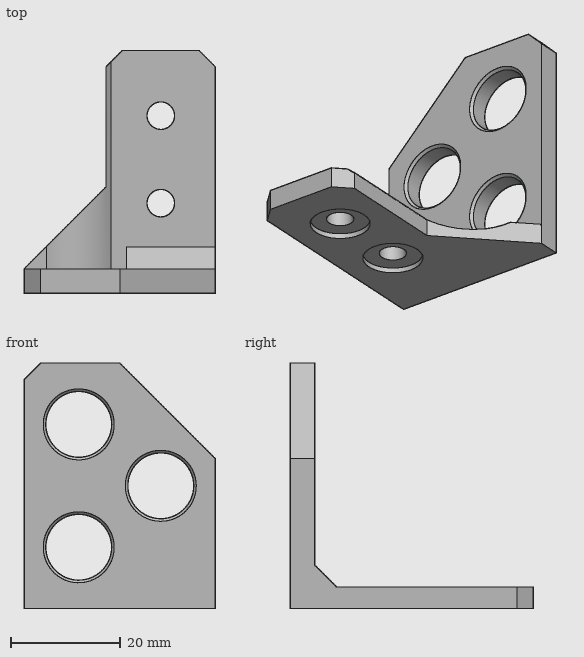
import cadquery as cq

width = 35.0
depth = 44.5
height = 45.0

plate_thickness = 4.5
corner_chamfer = 3.0
large_chamfer = 17.5

hole_diameter = 12.0
hole_edge_chamfer = 0.5
left_hole_x = 10.0
right_hole_x = 25.0
low_hole_z = height / 4
middle_hole_z = height / 2
high_hole_z = height * 3 / 4

base_thickness = 4.0
base_left_x = 15.0
gusset_end_y = plate_thickness + base_left_x
base_hole_diameter = 5.0
base_hole_x = right_hole_x
base_hole_front_y = 16.5
base_hole_spacing = 16.0
spotface_diameter = 11.0
spotface_depth = 1.0

trough_radius = 9.35

brace_leg = base_thickness
brace_left_x = 18.75


def make_upright_plate():
    outline = [
        (0, 0),
        (width, 0),
        (width, height - large_chamfer),
        (width - large_chamfer, height),
        (corner_chamfer, height),
        (0, height - corner_chamfer),
    ]
    return cq.Workplane("XZ").polyline(outline).close().extrude(-plate_thickness)


def make_base():
    outline = [
        (0, 0),
        (width, 0),
        (width, depth - corner_chamfer),
        (width - corner_chamfer, depth),
        (base_left_x + corner_chamfer, depth),
        (base_left_x, depth - corner_chamfer),
        (base_left_x, gusset_end_y),
        (0, plate_thickness),
    ]
    base = cq.Workplane("XY").polyline(outline).close().extrude(base_thickness)
    trough = (
        cq.Workplane("XZ")
        .center(left_hole_x, low_hole_z)
        .circle(trough_radius)
        .extrude(-depth)
    )
    base_hole_centers = [
        (base_hole_x, base_hole_front_y),
        (base_hole_x, base_hole_front_y + base_hole_spacing),
    ]
    hole_layout = cq.Workplane("XY").pushPoints(base_hole_centers)
    base_holes = hole_layout.circle(base_hole_diameter / 2).extrude(base_thickness)
    spotfaces = hole_layout.circle(spotface_diameter / 2).extrude(spotface_depth)
    return base.cut(trough).cut(base_holes).cut(spotfaces)


def make_brace():
    triangle = [
        (plate_thickness, base_thickness),
        (plate_thickness + brace_leg, base_thickness),
        (plate_thickness, base_thickness + brace_leg),
    ]
    return (
        cq.Workplane("YZ", origin=(brace_left_x, 0, 0))
        .polyline(triangle)
        .close()
        .extrude(width - brace_left_x)
    )


def make_hole_cutter(x, z):
    """Through hole with both edges chamfered, revolved about its axis."""
    radius = hole_diameter / 2
    profile = [
        (0, 0),
        (radius + hole_edge_chamfer, 0),
        (radius, hole_edge_chamfer),
        (radius, plate_thickness - hole_edge_chamfer),
        (radius + hole_edge_chamfer, plate_thickness),
        (0, plate_thickness),
    ]
    cutter = cq.Workplane("XY").polyline(profile).close().revolve(360, (0, 0), (0, 1))
    return cutter.translate((x, 0, z))


result = make_upright_plate().union(make_base()).union(make_brace())

hole_centers = [
    (left_hole_x, low_hole_z),
    (right_hole_x, middle_hole_z),
    (left_hole_x, high_hole_z),
]
for hole_x, hole_z in hole_centers:
    result = result.cut(make_hole_cutter(hole_x, hole_z))